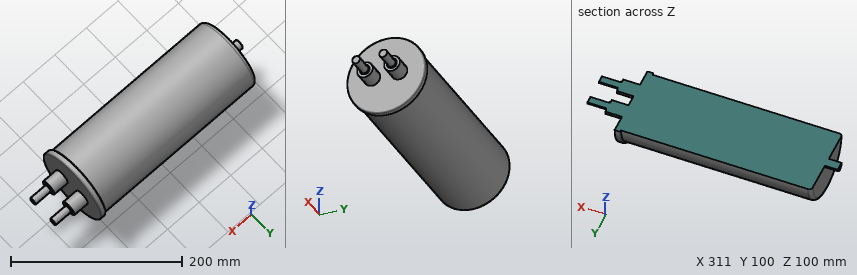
import cadquery as cq

total_length = 311.0

body_diameter = 95.2
base_fillet = 4.7
rim_diameter = 100.0
rim_width = 7.8
rim_fillet = 1.0

stud_diameter = 12.5
stud_length = 16.2

terminal_spacing = 34.8
terminal_length = 46.0
collar_diameter = 20.2
collar_length = 21.0
shoulder_diameter = 12.5
shoulder_length = 1.0
pin_diameter = 10.0

can_length = total_length - stud_length - terminal_length
rim_start = can_length - rim_width
collar_end = can_length + collar_length
shoulder_end = collar_end + shoulder_length
terminal_end = can_length + terminal_length


def rod(diameter, start, end, y=0):
    """Solid cylinder parallel to X, from start to end, centred at the given Y."""
    return cq.Workplane("YZ", origin=(start, y, 0)).circle(diameter / 2).extrude(end - start)


def terminal(y):
    """Stepped terminal standing on the rim face."""
    collar = rod(collar_diameter, can_length, collar_end, y)
    shoulder = rod(shoulder_diameter, collar_end, shoulder_end, y)
    pin = rod(pin_diameter, shoulder_end, terminal_end, y)
    return collar.union(shoulder).union(pin)


body = rod(body_diameter, 0, rim_start).faces("<X").edges().fillet(base_fillet)
rim = rod(rim_diameter, rim_start, can_length).faces("<X or >X").edges().fillet(rim_fillet)
stud = rod(stud_diameter, -stud_length, 0)

result = body.union(rim).union(stud)
for side in (-1, 1):
    result = result.union(terminal(side * terminal_spacing / 2))